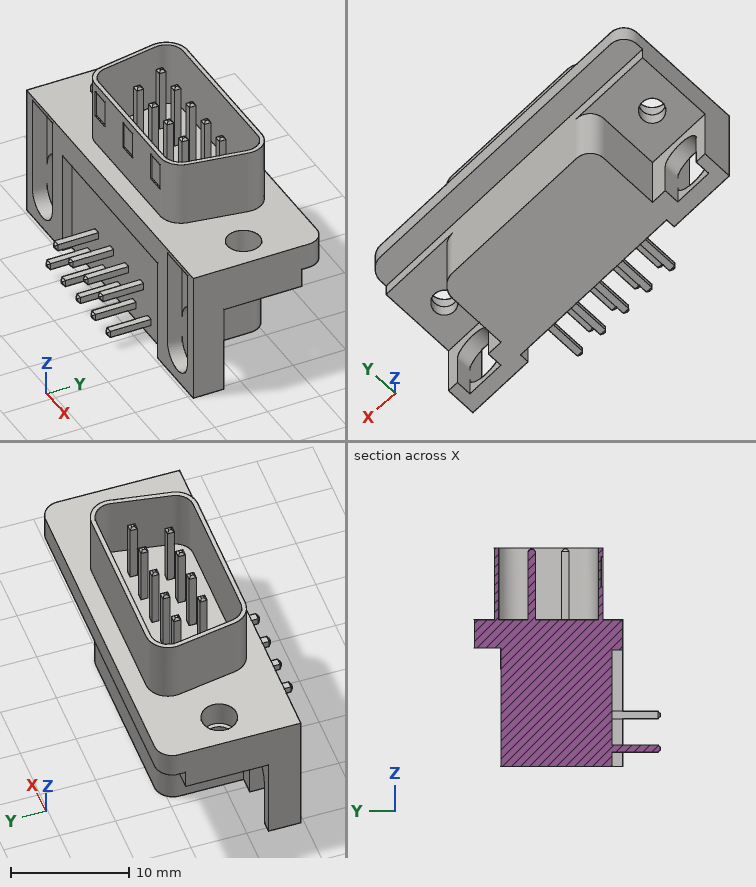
import cadquery as cq
import math


body_width = 30.81
body_height = 12.43
flange_depth = 12.56
flange_thickness = 2.42
flange_corner_radius = 1.6
body_depth = 10.32
ear_thickness = 2.9
ear_gap_height = 8.26
core_width = 18.2
core_corner_radius = 1.67
mid_y = flange_depth / 2

recess_width = 17.54
recess_height = 9.84
recess_depth = 0.9

ear_spacing = 24.96
slot_width = 3.71
slot_bottom = 1.08
slot_top = 6.84
channel_top = 12.06
front_channel_depth = 1.41

screw_hole_diameter = 2.3
screw_bore_diameter = 3.08
screw_bore_depth = 2.42

shell_height = 6.06
shell_depth = 9.2
shell_half_width = 8.88
shell_corner_radius = 1.98
shell_side_angle = math.radians(9.5)
shell_wall = 0.4
shell_top = body_height + shell_height

window_width = 1.77
window_height = 2.52
window_drop = 0.77
window_spacing = 5.1
window_depth = 0.13

long_row_count = 5
short_row_count = 4
pin_pitch = 2.77
row_spacing = 2.84
pin_size = 0.64
pin_tip_chamfer = 0.2
contact_length = 5.96
tail_length = 3.16
lower_tail_z = 1.53
pin_embed = 0.5


def block(x_min, x_max, y_min, y_max, z_min, z_max):
    size = (x_max - x_min, y_max - y_min, z_max - z_min)
    return cq.Workplane("XY").box(*size, centered=False).translate((x_min, y_min, z_min))


def centered_block(width, y_min, y_max, z_min, z_max):
    return block(-width / 2, width / 2, y_min, y_max, z_min, z_max)


def make_housing():
    flange = centered_block(body_width, 0, flange_depth, body_height - flange_thickness, body_height)
    flange = flange.edges("|Z and >Y").fillet(flange_corner_radius)
    shoulder = centered_block(body_width, 0, body_depth, ear_gap_height, body_height)
    ears = centered_block(body_width, 0, ear_thickness, 0, body_height)
    core = centered_block(core_width, 0, body_depth, 0, ear_gap_height)
    core = core.edges("|Z and >Y").fillet(core_corner_radius)
    housing = flange.union(shoulder).union(ears).union(core)
    return housing.cut(centered_block(recess_width, 0, recess_depth, 0, recess_height))


def make_ear_cut(x):
    slot_height = slot_top - slot_bottom
    slot_mid = (slot_top + slot_bottom) / 2
    slot = (
        cq.Workplane("XZ", origin=(x, 0, slot_mid))
        .slot2D(slot_height, slot_width, 90)
        .extrude(-ear_thickness)
    )
    half_width = slot_width / 2
    x_min = x - half_width
    x_max = x + half_width
    front_channel = block(x_min, x_max, 0, front_channel_depth, slot_mid, channel_top)
    rear_channel = block(x_min, x_max, front_channel_depth, ear_thickness, 0, slot_mid)
    return slot.union(front_channel).union(rear_channel)


def make_screw_hole(x):
    top = cq.Workplane("XY", origin=(x, mid_y, body_height))
    through = top.circle(screw_hole_diameter / 2).extrude(ear_gap_height - body_height)
    bore = top.circle(screw_bore_diameter / 2).extrude(-screw_bore_depth)
    return through.union(bore)


def shell_solid(inset):
    """D-shaped prism standing on the flange, offset inwards by inset."""
    half_depth = shell_depth / 2 - inset
    radius = shell_corner_radius - inset
    arc_x = shell_half_width - shell_corner_radius
    arc_y = shell_depth / 2 - shell_corner_radius
    slope = math.tan(shell_side_angle)

    def side_x(y):
        return arc_x + radius / math.cos(shell_side_angle) + (y - arc_y) * slope

    wide = side_x(half_depth)
    narrow = side_x(-half_depth)
    corners = [(-wide, half_depth), (wide, half_depth), (narrow, -half_depth), (-narrow, -half_depth)]
    prism = cq.Workplane("XY", origin=(0, mid_y, body_height)).polyline(corners).close().extrude(shell_height)
    return prism.edges("|Z").fillet(radius)


def make_shell():
    shell = shell_solid(0).cut(shell_solid(shell_wall))
    face_y = mid_y - shell_depth / 2
    window_top = shell_top - window_drop
    for x in (-window_spacing, 0, window_spacing):
        window = centered_block(
            window_width, face_y, face_y + window_depth, window_top - window_height, window_top
        )
        shell = shell.cut(window.translate((x, 0, 0)))
    return shell


def pin(plane, origin, length):
    """Square pin with a chamfered tip, starting pin_embed behind the given origin."""
    return (
        cq.Workplane(plane, origin=origin)
        .workplane(offset=-pin_embed)
        .rect(pin_size, pin_size)
        .extrude(length + pin_embed)
        .faces(">Z" if plane == "XY" else "<Y")
        .chamfer(pin_tip_chamfer)
    )


def make_pins():
    pins = []
    rows = (
        (long_row_count, mid_y + row_spacing / 2, lower_tail_z),
        (short_row_count, mid_y - row_spacing / 2, lower_tail_z + row_spacing),
    )
    for count, contact_y, tail_z in rows:
        for index in range(count):
            x = (index - (count - 1) / 2) * pin_pitch
            contact = pin("XY", (x, contact_y, body_height), contact_length)
            tail = pin("XZ", (x, recess_depth, tail_z), tail_length + recess_depth)
            pins.extend((contact, tail))
    return pins


result = make_housing().union(make_shell())
for ear_x in (-ear_spacing / 2, ear_spacing / 2):
    result = result.cut(make_ear_cut(ear_x)).cut(make_screw_hole(ear_x))
for single_pin in make_pins():
    result = result.union(single_pin)